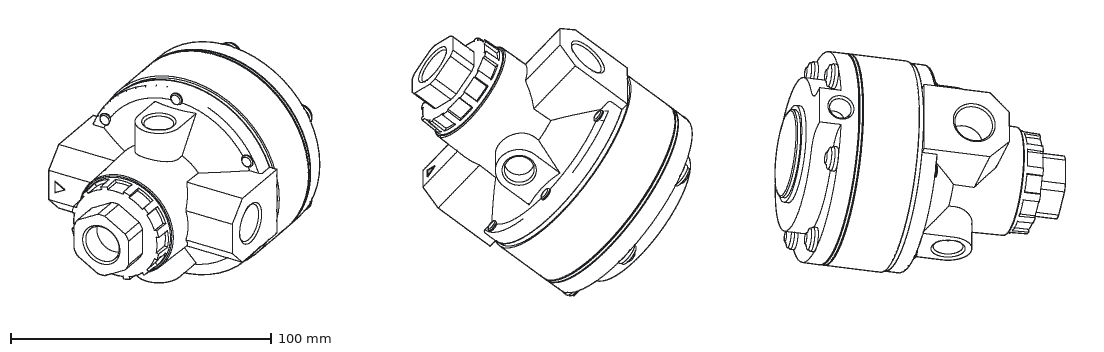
import cadquery as cq
import math


CAP_BACK = 64.5
CAP_FRONT = 62.7
COVER_BOSS_BACK = 61.0
COVER_BACK = 52.6
HOUSING_BACK = 45.6
HOUSING_GROOVE_Y = 44.2
RELIEF_BACK = 21.7
FLANGE_BACK = 19.9
FLANGE_FRONT = 13.6
NECK_BACK = 2.0
NECK_FRONT = -25.1
NOTCH_BACK = -26.6
RING_FRONT = -32.9
OVERALL_LENGTH = 108.0
HEX_FRONT = CAP_BACK - OVERALL_LENGTH

CAP_DIAMETER = 34.1
CAP_CHAMFER = 0.5
CAP_SEAT_DIAMETER = 37.6
COVER_BOSS_DIAMETER = 59.6
COVER_BACK_DIAMETER = 81.8
HOUSING_DIAMETER = 82.0
HOUSING_CHAMFER = 0.3
GROOVE_WIDTH = 0.3
GROOVE_DEPTH = 0.5
RELIEF_DIAMETER = 80.2
FLANGE_DIAMETER = 80.7
FLANGE_FILLET = 1.1
CONE_DIAMETER = 71.0
NECK_BACK_DIAMETER = 43.4
NECK_FRONT_DIAMETER = 42.0
NECK_CHAMFER = 0.4
RING_BACK_DIAMETER = 40.0
RING_FRONT_DIAMETER = 39.3

NOTCH_COUNT = 12
NOTCH_FLOOR_DIAMETER = 37.2
NOTCH_FLOOR_WIDTH = 6.9
NOTCH_MOUTH_WIDTH = 7.6

HEX_ACROSS_FLATS = 24.4
HEX_CORNER_DIAMETER = 26.6

BLOCK_LENGTH = HOUSING_DIAMETER
BLOCK_HEIGHT = 28.3
BLOCK_BACK = FLANGE_BACK
BLOCK_FRONT = -13.9
BLOCK_CHAMFER = 7.7

ARROW_X = -38.0
ARROW_LENGTH = 4.4
ARROW_WIDTH = 5.0
ARROW_RELIEF = 0.3

GAUGE_BOSS_WIDTH = 18.4
GAUGE_BOSS_SPAN = 66.3

PILOT_FACE_X = -40.0
PILOT_PAD_HEIGHT = 15.1
PILOT_FILLET_X = -36.0
PILOT_PORT_Y = 52.6

PORT_DIAMETER = 14.9
PORT_DEPTH = 16.2
END_PORT_DEPTH = 9.3
GAUGE_PORT_DIAMETER = 11.5
GAUGE_PORT_DEPTH = 6.7
PILOT_PORT_DIAMETER = 8.5
PILOT_PORT_DEPTH = 10.8
PORT_CHAMFER = 0.9

SCREW_COUNT = 6
SCREW_CIRCLE_RADIUS = 36.5
SCREW_HEAD_DIAMETER = 9.5
SCREW_HEAD_RIM = 1.4
SCREW_HEAD_HEIGHT = 3.9
SCREW_DOME_DIAMETER = 8.5
SCREW_DOME_HEIGHT = 2.6
SCREW_TOP_DIAMETER = 4.1
SCREW_SHOULDER_BULGE = 0.16
SCREW_DOME_BULGE = 0.2
SCREW_TIP_DIAMETER = 5.0
SCREW_TIP_END_DIAMETER = 4.0
SCREW_TIP_FRONT = 12.6


def frontward_plane(y):
    """Plane at station y whose local axes are X and Z and whose normal is -Y."""
    return cq.Workplane("XZ", origin=(0, y, 0))


def tapered_disc(y_back, y_front, back_diameter, front_diameter):
    """Disc or cone on the main axis between two stations."""
    return cq.Workplane(cq.Solid.makeCone(
        back_diameter / 2, front_diameter / 2, y_back - y_front,
        cq.Vector(0, y_back, 0), cq.Vector(0, -1, 0),
    ))


def disc(y_back, y_front, diameter):
    """Cylinder on the main axis between two stations."""
    return frontward_plane(y_back).circle(diameter / 2).extrude(y_back - y_front)


def round_body():
    cap = disc(CAP_BACK, CAP_FRONT, CAP_DIAMETER).faces(">Y").chamfer(CAP_CHAMFER)
    cap_seat = disc(CAP_FRONT, COVER_BOSS_BACK, CAP_SEAT_DIAMETER)
    housing = disc(HOUSING_BACK, RELIEF_BACK, HOUSING_DIAMETER).faces(">Y").chamfer(HOUSING_CHAMFER)
    groove_front = HOUSING_GROOVE_Y - GROOVE_WIDTH
    groove = disc(HOUSING_GROOVE_Y, groove_front, HOUSING_DIAMETER)
    groove = groove.cut(disc(HOUSING_GROOVE_Y, groove_front, HOUSING_DIAMETER - 2 * GROOVE_DEPTH))
    relief = disc(RELIEF_BACK, FLANGE_BACK, RELIEF_DIAMETER)
    flange = disc(FLANGE_BACK, FLANGE_FRONT, FLANGE_DIAMETER).faces("<Y").edges().fillet(FLANGE_FILLET)
    cone = tapered_disc(FLANGE_FRONT, NECK_BACK, CONE_DIAMETER, NECK_BACK_DIAMETER)
    neck = tapered_disc(NECK_BACK, NECK_FRONT, NECK_BACK_DIAMETER, NECK_FRONT_DIAMETER)
    neck = neck.faces("<Y").chamfer(NECK_CHAMFER)
    body = cap.union(cap_seat).union(cover()).union(housing.cut(groove))
    return body.union(relief).union(flange).union(cone).union(neck)


def cover():
    """Drafted cover disc and its round boss, with the pilot pad on the -X side."""
    plate = tapered_disc(COVER_BACK, HOUSING_BACK, COVER_BACK_DIAMETER, HOUSING_DIAMETER)
    beyond_pad = cq.Workplane().box(
        HOUSING_DIAMETER, 2 * HOUSING_DIAMETER, HOUSING_DIAMETER
    ).translate((PILOT_FACE_X - HOUSING_DIAMETER / 2, COVER_BACK, 0))
    boss = disc(COVER_BOSS_BACK, COVER_BACK, COVER_BOSS_DIAMETER)
    return plate.cut(beyond_pad).union(boss).union(pilot_pad())


def pilot_pad():
    """Pad blended into the round boss by a concave arc on each side."""
    boss_radius = COVER_BOSS_DIAMETER / 2
    half = PILOT_PAD_HEIGHT / 2
    blend = (PILOT_FILLET_X**2 + half**2 - boss_radius**2) / (2 * (boss_radius - half))
    center_z = half + blend
    center_distance = boss_radius + blend
    tangent_x = PILOT_FILLET_X * boss_radius / center_distance
    tangent_z = center_z * boss_radius / center_distance
    half_sweep = math.atan2(-PILOT_FILLET_X, center_z) / 2
    middle_x = PILOT_FILLET_X + blend * math.sin(half_sweep)
    middle_z = center_z - blend * math.cos(half_sweep)
    return (
        frontward_plane(COVER_BOSS_BACK)
        .moveTo(PILOT_FACE_X, half)
        .lineTo(PILOT_FILLET_X, half)
        .threePointArc((middle_x, middle_z), (tangent_x, tangent_z))
        .lineTo(0, 0)
        .lineTo(tangent_x, -tangent_z)
        .threePointArc((middle_x, -middle_z), (PILOT_FILLET_X, -half))
        .lineTo(PILOT_FACE_X, -half)
        .close()
        .extrude(COVER_BOSS_BACK - COVER_BACK)
    )


def grip_ring():
    ring = tapered_disc(NECK_FRONT, RING_FRONT, RING_BACK_DIAMETER, RING_FRONT_DIAMETER)
    mouth_radius = RING_BACK_DIAMETER / 2
    notch = (
        frontward_plane(NOTCH_BACK)
        .moveTo(0, 0)
        .lineTo(NOTCH_FLOOR_DIAMETER / 2, NOTCH_FLOOR_WIDTH / 2)
        .lineTo(mouth_radius, NOTCH_MOUTH_WIDTH / 2)
        .lineTo(mouth_radius, -NOTCH_MOUTH_WIDTH / 2)
        .lineTo(NOTCH_FLOOR_DIAMETER / 2, -NOTCH_FLOOR_WIDTH / 2)
        .close()
        .extrude(NOTCH_BACK - RING_FRONT)
        .cut(disc(NOTCH_BACK, RING_FRONT, NOTCH_FLOOR_DIAMETER))
    )
    for index in range(NOTCH_COUNT):
        ring = ring.cut(notch.rotate((0, 0, 0), (0, 1, 0), index * 360 / NOTCH_COUNT))
    return ring


def hex_end():
    """Hexagon with two flats facing +X and -X and rounded corners."""
    across_corners = HEX_ACROSS_FLATS / math.cos(math.pi / 6)
    length = RING_FRONT - HEX_FRONT
    hexagon = frontward_plane(RING_FRONT).polygon(6, across_corners).extrude(length)
    hexagon = hexagon.rotate((0, 0, 0), (0, 1, 0), 30)
    return hexagon.intersect(disc(RING_FRONT, HEX_FRONT, HEX_CORNER_DIAMETER))


def port_block():
    block = cq.Workplane().box(BLOCK_LENGTH, BLOCK_BACK - BLOCK_FRONT, BLOCK_HEIGHT)
    block = block.translate((0, (BLOCK_BACK + BLOCK_FRONT) / 2, 0))
    block = block.faces("<Y").edges("|X").chamfer(BLOCK_CHAMFER)
    arrow = (
        frontward_plane(BLOCK_FRONT)
        .moveTo(ARROW_X, ARROW_WIDTH / 2)
        .lineTo(ARROW_X + ARROW_LENGTH, 0)
        .lineTo(ARROW_X, -ARROW_WIDTH / 2)
        .close()
        .extrude(ARROW_RELIEF)
    )
    return block.union(arrow)


def gauge_bosses():
    """Upright bar with a half-round front that forms the bosses above and below."""
    half = GAUGE_BOSS_WIDTH / 2
    return (
        cq.Workplane("XY", origin=(0, 0, -GAUGE_BOSS_SPAN / 2))
        .moveTo(-half, FLANGE_FRONT)
        .lineTo(-half, 0)
        .threePointArc((0, -half), (half, 0))
        .lineTo(half, FLANGE_FRONT)
        .close()
        .extrude(GAUGE_BOSS_SPAN)
    )


def screws():
    """Dome-headed cover screws whose chamfered tips stand out of the flange."""
    head_radius = SCREW_HEAD_DIAMETER / 2
    top_radius = SCREW_TOP_DIAMETER / 2
    dome_radius = SCREW_DOME_DIAMETER / 2
    rim_y = COVER_BACK + SCREW_HEAD_RIM
    dome_y = COVER_BACK + SCREW_DOME_HEIGHT
    top_y = COVER_BACK + SCREW_HEAD_HEIGHT
    tip_radius = SCREW_TIP_DIAMETER / 2
    tip_end_radius = SCREW_TIP_END_DIAMETER / 2
    screw = (
        cq.Workplane("XY")
        .moveTo(0, SCREW_TIP_FRONT)
        .lineTo(tip_end_radius, SCREW_TIP_FRONT)
        .lineTo(tip_radius, SCREW_TIP_FRONT + tip_radius - tip_end_radius)
        .lineTo(tip_radius, COVER_BACK)
        .lineTo(head_radius, COVER_BACK)
        .lineTo(head_radius, rim_y)
        .sagittaArc((dome_radius, dome_y), SCREW_SHOULDER_BULGE)
        .sagittaArc((top_radius, top_y), SCREW_DOME_BULGE)
        .lineTo(0, top_y)
        .close()
        .revolve(360, (0, 0, 0), (0, 1, 0))
        .translate((0, 0, SCREW_CIRCLE_RADIUS))
    )
    return [
        screw.rotate((0, 0, 0), (0, 1, 0), index * 360 / SCREW_COUNT)
        for index in range(SCREW_COUNT)
    ]


def port_hole(mouth, inward, diameter, depth):
    """Blind hole with a chamfered mouth, starting at a point and running inward."""
    start = cq.Vector(*mouth)
    direction = cq.Vector(*inward)
    bore = cq.Solid.makeCylinder(diameter / 2, depth, start, direction)
    rim = cq.Solid.makeCone(
        diameter / 2 + PORT_CHAMFER, diameter / 2, PORT_CHAMFER, start, direction
    )
    return cq.Workplane(bore).union(cq.Workplane(rim))


body = round_body().union(grip_ring()).union(hex_end()).union(port_block()).union(gauge_bosses())
for cover_screw in screws():
    body = body.union(cover_screw)

body = body.cut(port_hole((0, HEX_FRONT, 0), (0, 1, 0), PORT_DIAMETER, END_PORT_DEPTH))
for side in (-1, 1):
    side_mouth = (side * BLOCK_LENGTH / 2, 0, 0)
    body = body.cut(port_hole(side_mouth, (-side, 0, 0), PORT_DIAMETER, PORT_DEPTH))
    gauge_mouth = (0, 0, side * GAUGE_BOSS_SPAN / 2)
    body = body.cut(port_hole(gauge_mouth, (0, 0, -side), GAUGE_PORT_DIAMETER, GAUGE_PORT_DEPTH))
pilot_mouth = (PILOT_FACE_X, PILOT_PORT_Y, 0)
body = body.cut(port_hole(pilot_mouth, (1, 0, 0), PILOT_PORT_DIAMETER, PILOT_PORT_DEPTH))

result = body